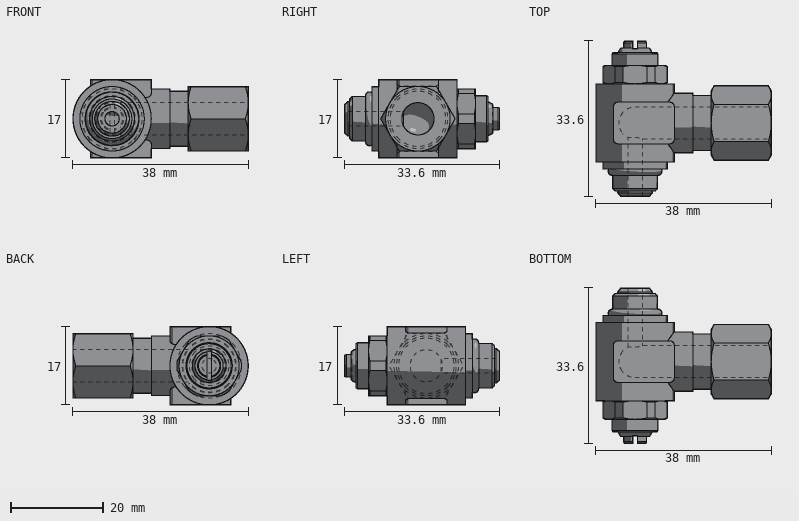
import cadquery as cq
import math


overall_length = 38.03

body_diameter = 17.0
body_radius = body_diameter / 2
body_half_length = body_radius
pad_width = 9.0
pad_left_x = -4.7
pad_corner_radius = 1.0

branch_radius = 6.45
branch_end_x = 12.5
tube_radius = 6.0
tube_end_x = 16.5
union_nut_end_x = overall_length - body_radius
union_nut_across_flats = 14.0
passage_radius = 3.5

lock_nut_across_flats = 13.0
lock_nut_rounding_radius = 7.0
lock_nut_end_y = 12.5
collar_radius = 5.02
collar_end_y = 15.25
collar_chamfer_length = 0.35
collar_chamfer_depth = 0.23
shoulder_base_radius = 3.65
shoulder_middle_radius = 3.45
shoulder_top_radius = 3.05
shoulder_middle_y = 15.7
shoulder_end_y = 16.28
shoulder_chamfer = 0.23
stem_radius = 2.5
stem_end_y = 17.72
stem_chamfer_length = 0.38
stem_chamfer_depth = 0.2
slot_width = 0.95
slot_depth = 1.6

flange_radius = 7.0
flange_end_y = -10.0
ring_section_radius = 0.9
ring_centre_radius = 4.95
ring_centre_y = -10.45
plug_radius = 4.85
plug_end_y = -14.8
plug_chamfer = 0.57
tip_radius = 3.75
tip_end_y = -15.9
tip_chamfer_length = 0.75
tip_chamfer_depth = 0.65
inlet_radius = 1.55

nut_chamfer_angle = 30.0


def cylinder_along_x(radius, start_x, end_x):
    return cq.Workplane("YZ").workplane(offset=start_x).circle(radius).extrude(end_x - start_x)


def turned_about_y(profile):
    """Revolve a closed outline of (radius, y) points about the Y axis."""
    return cq.Workplane("XY").polyline(profile).close().revolve(360, (0, 0, 0), (0, 1, 0))


def hex_nut(across_flats, height, outer_radius):
    """Nut standing on XY with corners toward +X and -X.

    The corners are turned to outer_radius and both ends are chamfered to the flats.
    """
    flat_radius = across_flats / 2
    chamfer_height = (outer_radius - flat_radius) * math.tan(math.radians(nut_chamfer_angle))
    envelope = (
        cq.Workplane("XZ")
        .polyline([
            (0, 0),
            (flat_radius, 0),
            (outer_radius, chamfer_height),
            (outer_radius, height - chamfer_height),
            (flat_radius, height),
            (0, height),
        ])
        .close()
        .revolve(360, (0, 0, 0), (0, 1, 0))
    )
    corner_diameter = across_flats / math.cos(math.pi / 6)
    return cq.Workplane("XY").polygon(6, corner_diameter).extrude(height).intersect(envelope)


def make_body():
    barrel = (
        cq.Workplane("XZ")
        .circle(body_radius)
        .extrude(body_half_length, both=True)
    )
    pad_length = body_radius - pad_left_x
    pads = (
        cq.Workplane("XY")
        .center(pad_left_x + pad_length / 2, 0)
        .rect(pad_length, pad_width)
        .extrude(body_radius, both=True)
        .edges("|Z")
        .fillet(pad_corner_radius)
    )
    return barrel.union(pads)


def make_branch():
    neck = cylinder_along_x(branch_radius, 0, branch_end_x)
    tube = cylinder_along_x(tube_radius, 0, tube_end_x)
    union_nut_corner_radius = union_nut_across_flats / 2 / math.cos(math.pi / 6)
    union_nut = (
        hex_nut(union_nut_across_flats, union_nut_end_x - tube_end_x, union_nut_corner_radius)
        .rotate((0, 0, 0), (0, 0, 1), 90)
        .rotate((0, 0, 0), (0, 1, 0), 90)
        .translate((tube_end_x, 0, 0))
    )
    return neck.union(tube).union(union_nut)


def make_lock_nut():
    return (
        hex_nut(lock_nut_across_flats, lock_nut_end_y - body_half_length, lock_nut_rounding_radius)
        .rotate((0, 0, 0), (1, 0, 0), -90)
        .translate((0, body_half_length, 0))
    )


def make_spindle():
    """Turned core from the tip of the plug to the slotted end of the stem."""
    spindle = turned_about_y([
        (0, tip_end_y),
        (tip_radius - tip_chamfer_depth, tip_end_y),
        (tip_radius, tip_end_y + tip_chamfer_length),
        (tip_radius, plug_end_y),
        (plug_radius - plug_chamfer, plug_end_y),
        (plug_radius, plug_end_y + plug_chamfer),
        (plug_radius, flange_end_y),
        (flange_radius, flange_end_y),
        (flange_radius, -body_half_length),
        (collar_radius, -body_half_length),
        (collar_radius, collar_end_y - collar_chamfer_length),
        (collar_radius - collar_chamfer_depth, collar_end_y),
        (shoulder_base_radius, collar_end_y),
        (shoulder_middle_radius, shoulder_middle_y),
        (shoulder_top_radius + shoulder_chamfer, shoulder_end_y - shoulder_chamfer),
        (shoulder_top_radius, shoulder_end_y),
        (stem_radius, shoulder_end_y),
        (stem_radius, stem_end_y - stem_chamfer_length),
        (stem_radius - stem_chamfer_depth, stem_end_y),
        (0, stem_end_y),
    ])
    slot_length = 2 * shoulder_base_radius
    slot = (
        cq.Workplane("XY")
        .box(slot_width, slot_depth, slot_length, centered=(True, False, True))
        .translate((0, stem_end_y - slot_depth, 0))
    )
    return spindle.cut(slot)


def make_sealing_ring():
    return (
        cq.Workplane("XY")
        .center(ring_centre_radius, ring_centre_y)
        .circle(ring_section_radius)
        .revolve(360, (-ring_centre_radius, 0, 0), (-ring_centre_radius, 1, 0))
    )


def make_flow_path():
    """Round-ended passage along the branch, met by the inlet drilled from the plug tip."""
    arc_middle = passage_radius * math.cos(math.pi / 4)
    passage = (
        cq.Workplane("XY")
        .moveTo(-passage_radius, 0)
        .threePointArc((-arc_middle, -arc_middle), (0, -passage_radius))
        .lineTo(union_nut_end_x, -passage_radius)
        .lineTo(union_nut_end_x, 0)
        .close()
        .revolve(360, (0, 0, 0), (1, 0, 0))
    )
    inlet = cq.Workplane("XZ").circle(inlet_radius).extrude(-tip_end_y)
    return passage.union(inlet)


result = (
    make_body()
    .union(make_branch())
    .union(make_lock_nut())
    .union(make_spindle())
    .union(make_sealing_ring())
    .cut(make_flow_path())
)